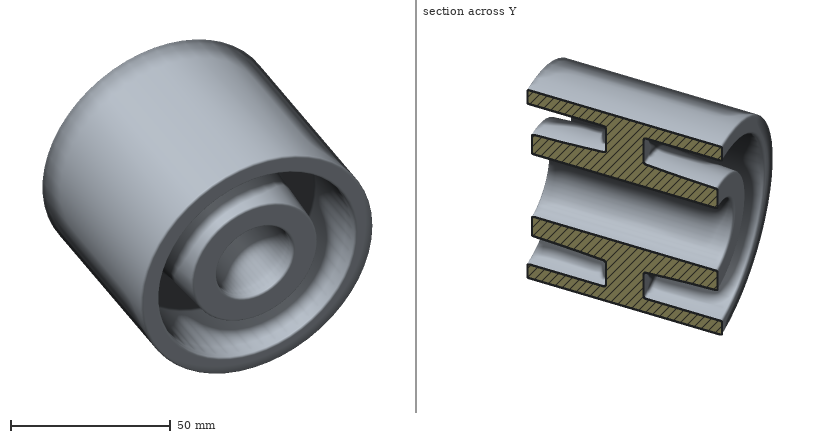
import cadquery as cq
import math

LENGTH = 66.675
OUTER_DIAMETER = 82.55
RECESS_DIAMETER = 70.0
HUB_FACE_DIAMETER = 44.6
BORE_DIAMETER = 27.2

HUB_SETBACK = 1.6
RECESS_DEPTH = 26.8
HUB_DRAFT = 3.5
EDGE_RADIUS = 0.8

half_length = LENGTH / 2
outer_radius = OUTER_DIAMETER / 2
recess_radius = RECESS_DIAMETER / 2
hub_face_radius = HUB_FACE_DIAMETER / 2
bore_radius = BORE_DIAMETER / 2

hub_face_x = half_length - HUB_SETBACK
web_face_x = half_length - RECESS_DEPTH
hub_height = hub_face_x - web_face_x
hub_base_radius = hub_face_radius + hub_height * math.tan(math.radians(HUB_DRAFT))


def make_half_profile():
    """Corner points (x, radius) of the +X half section, from outer surface to bore."""
    return [
        (half_length, outer_radius),
        (half_length, recess_radius),
        (web_face_x, recess_radius),
        (web_face_x, hub_base_radius),
        (hub_face_x, hub_face_radius),
        (hub_face_x, bore_radius),
    ]


def make_roller():
    """Revolve the full section, symmetric about the YZ plane, around the X axis."""
    right_half = make_half_profile()
    left_half = [(-x, radius) for x, radius in reversed(right_half)]
    section = cq.Workplane("XY").polyline(right_half + left_half).close()
    return section.revolve(360, (0, 0, 0), (1, 0, 0))


result = make_roller().edges("%CIRCLE").fillet(EDGE_RADIUS)